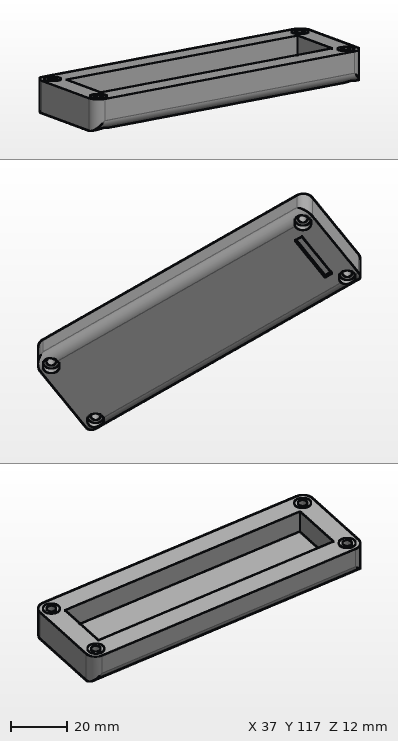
import cadquery as cq

length_x = 37.0
length_y = 117.0
height = 12.0
edge_radius = 4.0

panel_x = 20.0
panel_y = 100.0
panel_thickness = 2.0
panel_gap = 0.5

floor_thickness = 1.5
pocket_x = panel_x + 2 * panel_gap
pocket_y = panel_y + 2 * panel_gap

slot_side_ledge = 1.0
slot_x = pocket_x - 2 * slot_side_ledge
slot_y = 3.0

corner_inset = 4.5
screw_spacing_x = length_x - 2 * corner_inset
screw_spacing_y = length_y - 2 * corner_inset
screw_hole_diameter = 3.4
bushing_diameter = 6.0
bushing_height = 3.0
bushing_bottom = height - bushing_height
counterbore_diameter = 6.0
counterbore_depth = 3.0

screw_positions = [
    (side_x * screw_spacing_x / 2, side_y * screw_spacing_y / 2)
    for side_x in (-1, 1)
    for side_y in (-1, 1)
]


def level(z):
    """Workplane parallel to XY at height z."""
    return cq.Workplane("XY", origin=(0, 0, z))


def screw_cylinders(diameter, bottom, top):
    """One upright cylinder at each screw position."""
    return level(bottom).pushPoints(screw_positions).circle(diameter / 2).extrude(top - bottom)


def make_block():
    """Block with rounded vertical corners and two rounded long bottom edges that meet in mitres."""
    plain = level(0).rect(length_x, length_y).extrude(height)
    rounded_corners = plain.edges("|Z").fillet(edge_radius)
    rounded_bottom = plain.edges("|Y and <Z").fillet(edge_radius)
    return rounded_corners.intersect(rounded_bottom)


def make_housing():
    pocket = level(floor_thickness).rect(pocket_x, pocket_y).extrude(height - floor_thickness)
    slot_center_y = (pocket_y - slot_y) / 2
    slot = level(0).center(0, slot_center_y).rect(slot_x, slot_y).extrude(floor_thickness)
    screw_holes = screw_cylinders(screw_hole_diameter, 0, height)
    counterbores = screw_cylinders(counterbore_diameter, 0, counterbore_depth)
    bushing_seats = screw_cylinders(bushing_diameter, bushing_bottom, height)

    housing = make_block()
    for cutter in (pocket, slot, screw_holes, counterbores, bushing_seats):
        housing = housing.cut(cutter)
    return housing


def make_panel():
    return level(floor_thickness).rect(panel_x, panel_y).extrude(panel_thickness)


def make_bushing(position):
    """Ring that fills the seat at the top of one screw hole."""
    return (
        level(bushing_bottom)
        .center(*position)
        .circle(bushing_diameter / 2)
        .circle(screw_hole_diameter / 2)
        .extrude(bushing_height)
    )


housing = make_housing()
panel = make_panel()
bushings = [make_bushing(position) for position in screw_positions]

result = cq.Compound.makeCompound(
    [housing.val(), panel.val(), *[bushing.val() for bushing in bushings]]
)